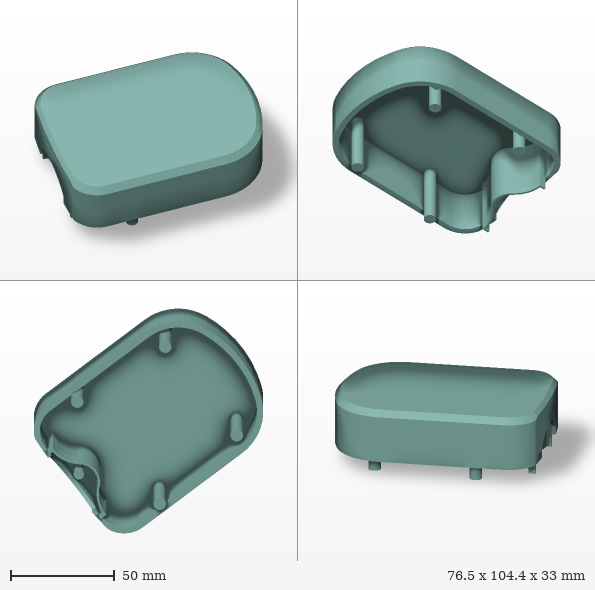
import cadquery as cq
import math

length = 104.4
width = 76.5
body_height = 25.8
leg_length = 7.2
wall = 3.0
chamfer = 3.0

half_width = width / 2
back_corner_radius = 26.2
back_corner_y = length - 28.5
front_corner_radius = 15.0
front_corner_y = 15.5
front_corner_sweep = math.radians(69)
front_bend_x = 25.1
recess_depth = 0.99

arch_half_width = 17.2
arch_side_height = 4.4
arch_height = 12.1

partition_thickness = 1.0
partition_half_width = 20.9
partition_front = 2.9
partition_step = 2.4
cup_radius = 9.2
flare_angle = math.radians(50)
flare_radius = partition_half_width / math.sin(flare_angle) - cup_radius
flare_center_y = partition_front + partition_step + flare_radius
cup_center_y = flare_center_y - (flare_radius + cup_radius) * math.cos(flare_angle)

leg_diameter = 6.0
front_leg_x, front_leg_y = 32.4, 30.1
back_leg_x, back_leg_y = 28.1, length - 23.9
stud_diameter = 5.0
stud_bottom = 7.0


def mirrored(point):
    """Point reflected across x = 0."""
    return (-point[0], point[1])


def on_circle(center, radius, angle):
    """Point on a circle at an angle from +x."""
    return (center[0] + radius * math.cos(angle), center[1] + radius * math.sin(angle))


front_center = (half_width - front_corner_radius, front_corner_y)
front_mid = on_circle(front_center, front_corner_radius, -front_corner_sweep / 2)
front_joint = on_circle(front_center, front_corner_radius, -front_corner_sweep)


def outline():
    """Closed outline of the cover: bulged ends, straight sides, rounded corners."""
    corner_x = half_width - back_corner_radius
    drop = length - back_corner_y
    back_radius = (corner_x**2 + drop**2 - back_corner_radius**2) / (2 * (drop - back_corner_radius))
    back_angle = math.atan2(back_corner_y - (length - back_radius), corner_x)
    back_center = (corner_x, back_corner_y)
    back_mid = on_circle(back_center, back_corner_radius, back_angle / 2)
    back_joint = on_circle(back_center, back_corner_radius, back_angle)

    run = front_joint[0] - front_bend_x
    front_bend = (front_bend_x, front_joint[1] - run / math.tan(front_corner_sweep))

    side_back = (half_width, back_corner_y)
    side_front = (half_width, front_corner_y)
    return (
        cq.Workplane("XY")
        .moveTo(*front_bend)
        .lineTo(*front_joint)
        .threePointArc(front_mid, side_front)
        .lineTo(*side_back)
        .threePointArc(back_mid, back_joint)
        .threePointArc((0, length), mirrored(back_joint))
        .threePointArc(mirrored(back_mid), mirrored(side_back))
        .lineTo(*mirrored(side_front))
        .threePointArc(mirrored(front_mid), mirrored(front_joint))
        .lineTo(*mirrored(front_bend))
        .threePointArc((0, -recess_depth), front_bend)
        .close()
    )


def shell():
    """Chamfered cover, its front face set back to y = 0, hollow from below."""
    block = outline().extrude(body_height).faces(">Z").chamfer(chamfer)
    recess = (
        cq.Workplane("XY")
        .moveTo(*mirrored(front_joint))
        .threePointArc((0, 0), front_joint)
        .lineTo(front_joint[0], -wall)
        .lineTo(-front_joint[0], -wall)
        .close()
        .extrude(body_height)
    )
    block = block.cut(recess)
    cavity = outline().offset2D(-wall).extrude(body_height - wall)
    return block.cut(cavity)


def arch():
    """Cutter for the arched opening, deep enough to pass the front wall only."""
    return (
        cq.Workplane("XZ")
        .moveTo(-arch_half_width, 0)
        .lineTo(-arch_half_width, arch_side_height)
        .threePointArc((0, arch_height), (arch_half_width, arch_side_height))
        .lineTo(arch_half_width, 0)
        .close()
        .extrude(wall, both=True)
    )


def hang(profile, bottom):
    """Extrude a profile lying at height bottom up into the ceiling."""
    return profile.extrude(body_height - wall / 2 - bottom)


def partition():
    """Bell-shaped wall of constant thickness with a forward tab at each end."""
    def bell(offset):
        cup = cup_radius + offset
        flare = flare_radius - offset
        left_flare = (-partition_half_width, flare_center_y)
        start = on_circle(left_flare, flare, -math.pi / 2)
        middle = on_circle(left_flare, flare, -math.pi / 2 + flare_angle / 2)
        joint = on_circle(left_flare, flare, -math.pi / 2 + flare_angle)
        return start, middle, joint, (0, cup_center_y + cup)

    start, middle, joint, top = bell(0)
    back_start, back_middle, back_joint, back_top = bell(partition_thickness)
    profile = (
        cq.Workplane("XY", origin=(0, 0, -leg_length))
        .moveTo(*start)
        .threePointArc(middle, joint)
        .threePointArc(top, mirrored(joint))
        .threePointArc(mirrored(middle), mirrored(start))
        .lineTo(*mirrored(back_start))
        .threePointArc(mirrored(back_middle), mirrored(back_joint))
        .threePointArc(back_top, back_joint)
        .threePointArc(back_middle, back_start)
        .close()
    )
    tab_depth = partition_step + partition_thickness
    tab_x = partition_half_width - partition_thickness / 2
    tabs = (
        cq.Workplane("XY", origin=(0, partition_front + tab_depth / 2, -leg_length))
        .pushPoints([(-tab_x, 0), (tab_x, 0)])
        .rect(partition_thickness, tab_depth)
    )
    return hang(profile, -leg_length).union(hang(tabs, -leg_length))


def legs():
    """Four round legs reaching below the rim."""
    front_leg = (front_leg_x, front_leg_y)
    back_leg = (back_leg_x, back_leg_y)
    spots = [front_leg, mirrored(front_leg), back_leg, mirrored(back_leg)]
    circles = cq.Workplane("XY", origin=(0, 0, -leg_length)).pushPoints(spots).circle(leg_diameter / 2)
    return hang(circles, -leg_length)


def stud():
    """Short central stud standing in the cup of the partition."""
    circle = cq.Workplane("XY", origin=(0, cup_center_y, stud_bottom)).circle(stud_diameter / 2)
    return hang(circle, stud_bottom)


result = shell().cut(arch()).union(partition()).union(legs()).union(stud())